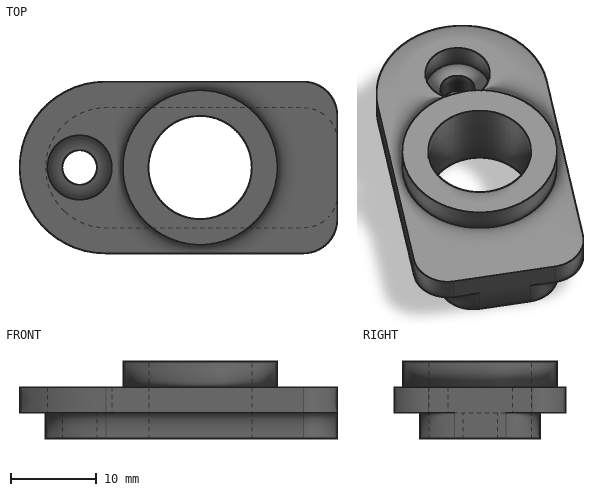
import cadquery as cq

length = 37.0
plate_width = 20.02
base_width = 14.0
layer_height = 3.0
corner_radius = 4.0

boss_diameter = 18.0
bore_diameter = 12.0
bore_from_rounded_end = 21.02

screw_hole_diameter = 4.0
counterbore_diameter = 7.5
counterbore_depth = layer_height
screw_from_rounded_end = 7.0

plate_radius = plate_width / 2
square_end_x = length - plate_radius
bore_x = bore_from_rounded_end - plate_radius
screw_x = screw_from_rounded_end - plate_radius
plate_top = 2 * layer_height
total_height = 3 * layer_height


def tongue(width, bottom):
    """Slab with a full round at -X and two rounded corners at +X."""
    radius = width / 2
    return (
        cq.Workplane("XY", origin=(0, 0, bottom))
        .moveTo(0, radius)
        .lineTo(square_end_x, radius)
        .lineTo(square_end_x, -radius)
        .lineTo(0, -radius)
        .threePointArc((-radius, 0), (0, radius))
        .close()
        .extrude(layer_height)
        .edges("|Z and >X")
        .fillet(corner_radius)
    )


def cylinder(x, diameter, bottom, height):
    """Vertical cylinder on the part's centreline."""
    return cq.Workplane("XY", origin=(x, 0, bottom)).circle(diameter / 2).extrude(height)


base = tongue(base_width, 0)
plate = tongue(plate_width, layer_height)
boss = cylinder(bore_x, boss_diameter, plate_top, layer_height)
body = base.union(plate).union(boss)

bore = cylinder(bore_x, bore_diameter, 0, total_height)
screw_hole = cylinder(screw_x, screw_hole_diameter, 0, plate_top)
counterbore = cylinder(
    screw_x, counterbore_diameter, plate_top - counterbore_depth, counterbore_depth
)

result = body.cut(bore).cut(screw_hole).cut(counterbore)